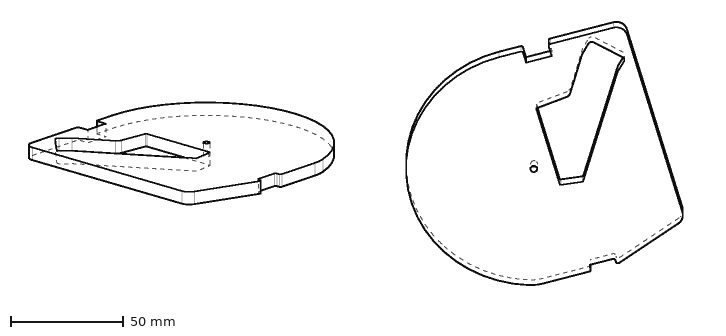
import cadquery as cq

thickness = 6.0
length = 114.8
width = 112.0
arc_radius = 57.0
pivot_diameter = 3.0

left = -arc_radius
right = left + width
top = arc_radius
bottom = top - length

notch_top = -10.9
notch_bottom = -22.7
left_notch_depth = 5.9
right_notch_depth = 3.1
taper_foot_x = 42.0

base_radius = 4.9
shoulder_radius = 20.0
notch_radius = 0.9
window_bend_radius = 3.0
window_tip_radius = 1.7
window_corner_radius = 0.5

window_top = -9.1
window_top_left = (-28.2, window_top)
window_top_right = (10.7, window_top)
window_right = (11.9, -19.4)
window_lower_bend = (-35.8, -49.0)
window_bottom_tip = (-40.8, -54.1)
window_left_tip = (-53.6, -41.3)
window_upper_bend = (-48.3, -36.2)
window_inner_bend = (-30.1, -25.0)


def round_corners(body, points, radius):
    """Fillet the vertical edges standing at the given XY points."""
    reach = 0.1
    for x, y in points:
        corner = cq.selectors.BoxSelector(
            (x - reach, y - reach, -reach), (x + reach, y + reach, thickness + reach)
        )
        body = body.edges("|Z").edges(corner).fillet(radius)
    return body


def make_plate():
    left_notch_x = left + left_notch_depth
    right_notch_x = right - right_notch_depth
    shoulder_y = (arc_radius**2 - right**2) ** 0.5
    plate = (
        cq.Workplane("XY")
        .moveTo(left, 0)
        .threePointArc((0, top), (right, shoulder_y))
        .lineTo(right, notch_top)
        .lineTo(right_notch_x, notch_top)
        .lineTo(right_notch_x, notch_bottom)
        .lineTo(right, notch_bottom)
        .lineTo(taper_foot_x, bottom)
        .lineTo(left, bottom)
        .lineTo(left, notch_bottom)
        .lineTo(left_notch_x, notch_bottom)
        .lineTo(left_notch_x, notch_top)
        .lineTo(left, notch_top)
        .close()
        .extrude(thickness)
    )
    plate = round_corners(plate, [(right, shoulder_y)], shoulder_radius)
    plate = round_corners(plate, [(left, bottom), (taper_foot_x, bottom)], base_radius)
    notch_corners = [
        (x, y) for x in (left, right, right_notch_x) for y in (notch_top, notch_bottom)
    ]
    return round_corners(plate, notch_corners, notch_radius)


def make_window():
    window = (
        cq.Workplane("XY")
        .polyline([
            window_top_left,
            window_top_right,
            window_right,
            window_lower_bend,
            window_bottom_tip,
            window_left_tip,
            window_upper_bend,
            window_inner_bend,
        ])
        .close()
        .extrude(thickness)
    )
    window = round_corners(window, [window_inner_bend], window_bend_radius)
    window = round_corners(window, [window_bottom_tip, window_left_tip], window_tip_radius)
    upper_corners = [window_top_left, window_top_right, window_right]
    return round_corners(window, upper_corners, window_corner_radius)


pivot_hole = cq.Workplane("XY").circle(pivot_diameter / 2).extrude(thickness)

result = make_plate().cut(make_window()).cut(pivot_hole)